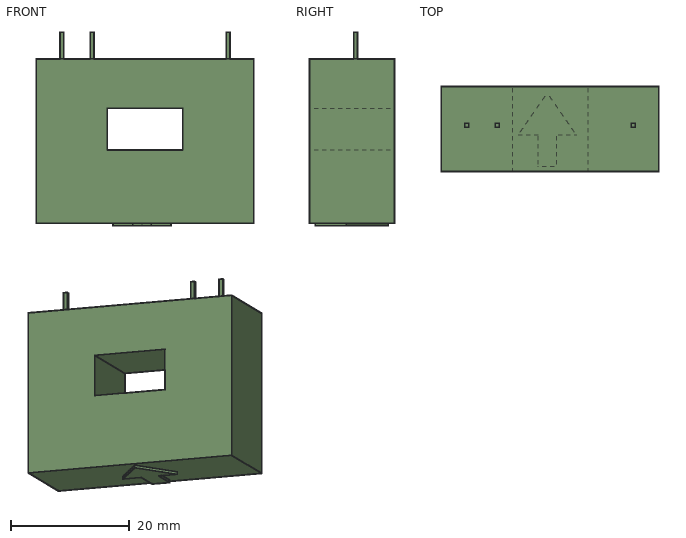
import cadquery as cq

length = 36.6
depth = 14.35
height = 27.67

window_length = 12.63
window_height = 6.95
window_center_z = 15.85

pin_side = 0.65
pin_height = 4.5
pin_y = 0.62
pin_xs = (-13.98, -8.9, 13.98)

arrow_height = 0.45
arrow_center_x = -0.5
arrow_tail_y = -6.22
arrow_shoulder_y = -0.95
arrow_tip_y = 6.1
shaft_width = 3.15
head_width = 9.77


def make_housing():
    block = cq.Workplane("XY").box(length, depth, height, centered=(True, True, False))
    window = cq.Workplane("XY").box(window_length, depth, window_height)
    return block.cut(window.translate((0, 0, window_center_z)))


def make_pins():
    return (
        cq.Workplane("XY", origin=(0, 0, height))
        .pushPoints([(x, pin_y) for x in pin_xs])
        .rect(pin_side, pin_side)
        .extrude(pin_height)
    )


def make_arrow():
    half_shaft = shaft_width / 2
    half_head = head_width / 2
    return (
        cq.Workplane("XY", origin=(arrow_center_x, 0, 0))
        .polyline([
            (-half_shaft, arrow_tail_y),
            (half_shaft, arrow_tail_y),
            (half_shaft, arrow_shoulder_y),
            (half_head, arrow_shoulder_y),
            (0, arrow_tip_y),
            (-half_head, arrow_shoulder_y),
            (-half_shaft, arrow_shoulder_y),
        ])
        .close()
        .extrude(-arrow_height)
    )


result = make_housing().union(make_pins()).union(make_arrow())